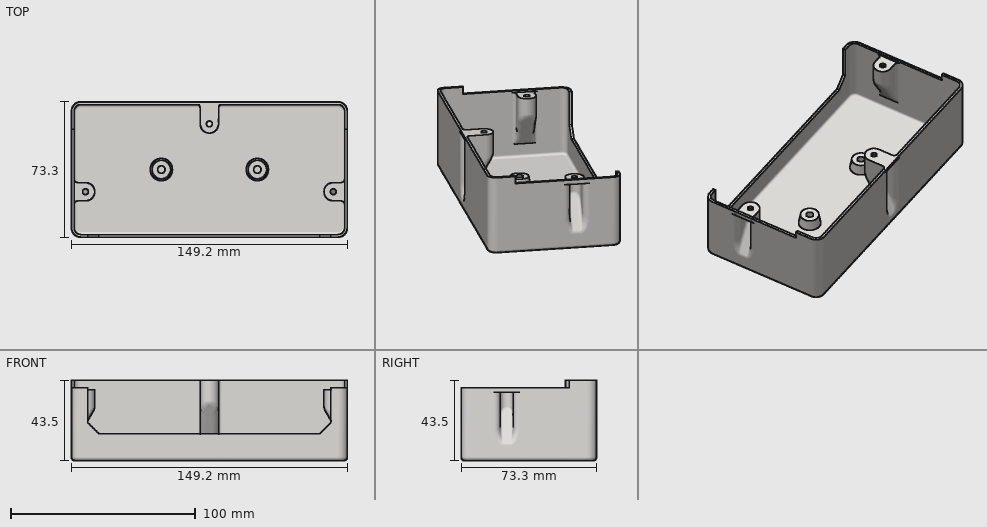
import cadquery as cq
import math

LENGTH = 149.2
WIDTH = 73.3
HEIGHT = 43.5
WALL = 1.5
CORNER_RADIUS = 5.0
OUTER_FLOOR_FILLET = 2.0
INNER_FLOOR_FILLET = 1.5

RIM_STEP = 4.0
REAR_RIM_DEPTH = 14.8

OPENING_HALF_WIDTH = 65.6
OPENING_SILL = 14.6
OPENING_CHAMFER = 6.0

POST_OFFSET = 26.0
POST_HEIGHT = 6.0
POST_TOP_DIAMETER = 10.0
POST_BASE_DIAMETER = 12.1
POST_HOLE_DIAMETER = 4.0

BOSS_DIAMETER = 10.0
BOSS_RADIUS = BOSS_DIAMETER / 2
BOSS_EDGE_FILLET = 3.3
BOSS_WALL_BLEND = 1.8
BOSS_HOLE_DIAMETER = 3.1
BOSS_SLOPE = math.radians(60)
SIDE_BOSS_SETBACK = 24.6
SIDE_BOSS_Y = -WIDTH / 2 + SIDE_BOSS_SETBACK
SIDE_BOSS_REACH = 7.6
SIDE_BOSS_DROP = 5.0
SIDE_BOSS_TOP = HEIGHT - SIDE_BOSS_DROP
SIDE_BOSS_NOSE = 10.3
REAR_BOSS_REACH = 12.0
REAR_BOSS_TOP = HEIGHT
REAR_BOSS_NOSE = 12.2

HOLLOW_RADIUS = BOSS_RADIUS - WALL
HOLLOW_NOSE_RISE = WALL * (1 - math.sin(BOSS_SLOPE)) / math.cos(BOSS_SLOPE)
HOLLOW_EDGE_FILLET = 1.6
HOLLOW_WALL_BLEND = BOSS_WALL_BLEND + WALL


def rounded_block(length, width, bottom, corner_radius, floor_fillet):
    """Block from a bottom level up to the rim, rounded at its corners and lower edges."""
    block = cq.Workplane("XY", origin=(0, 0, bottom)).rect(length, width).extrude(HEIGHT - bottom)
    return block.edges("|Z").fillet(corner_radius).faces("<Z").edges().fillet(floor_fillet)


def slope_level(x, tip, nose_base):
    """Height of the sloping underside at x, given its height nose_base at the tip."""
    return nose_base - (tip - x) * math.tan(BOSS_SLOPE)


def cut_to_slope(column, back, tip, nose_base, edge_fillet):
    """Cut a column along the slope that meets its tip at nose_base and round the new edges.

    The column points along +X from x = back to x = tip; its back edge stays sharp.
    """
    back_level = slope_level(back, tip, nose_base)
    below_slope = (
        cq.Workplane("XZ")
        .polyline([(back, back_level), (tip, nose_base), (tip, back_level)])
        .close()
        .extrude(2 * BOSS_DIAMETER, both=True)
    )
    downward = cq.Vector(math.sin(BOSS_SLOPE), 0, -math.cos(BOSS_SLOPE))
    underside = column.cut(below_slope).faces(cq.DirectionMinMaxSelector(downward))
    return underside.edges("not <X").fillet(edge_fillet)


def make_boss(reach, top, nose_base):
    """Solid boss on the inner wall face, for an outer wall face at x = 0."""
    tip = reach + BOSS_RADIUS
    blend_end = WALL + BOSS_WALL_BLEND
    foot = BOSS_RADIUS + BOSS_WALL_BLEND
    bottom = slope_level(WALL, tip, nose_base)
    column = (
        cq.Workplane("XY", origin=(0, 0, bottom))
        .moveTo(WALL, -foot)
        .radiusArc((blend_end, -BOSS_RADIUS), BOSS_WALL_BLEND)
        .lineTo(reach, -BOSS_RADIUS)
        .threePointArc((tip, 0), (reach, BOSS_RADIUS))
        .lineTo(blend_end, BOSS_RADIUS)
        .radiusArc((WALL, foot), BOSS_WALL_BLEND)
        .close()
        .extrude(top - bottom)
    )
    return cut_to_slope(column, WALL, tip, nose_base, BOSS_EDGE_FILLET)


def make_hollow(reach, top, nose_base):
    """Space inside a boss, flaring out all round to the outer wall face at x = 0."""
    tip = reach + HOLLOW_RADIUS
    back = -2 * HOLLOW_WALL_BLEND
    bottom = slope_level(back, tip, nose_base)
    column = (
        cq.Workplane("XY", origin=(0, 0, bottom))
        .moveTo(back, -HOLLOW_RADIUS)
        .lineTo(reach, -HOLLOW_RADIUS)
        .threePointArc((tip, 0), (reach, HOLLOW_RADIUS))
        .lineTo(back, HOLLOW_RADIUS)
        .close()
        .extrude(top - bottom)
    )
    column = cut_to_slope(column, back, tip, nose_base, HOLLOW_EDGE_FILLET)

    slab_half_width = HOLLOW_RADIUS + 2 * HOLLOW_WALL_BLEND
    slab = (
        cq.Workplane("XZ", origin=(0, slab_half_width, 0))
        .moveTo(back, bottom)
        .lineTo(0, bottom)
        .lineTo(0, top)
        .lineTo(back, top)
        .close()
        .extrude(2 * slab_half_width)
    )
    margin = WALL / 10
    junction = cq.selectors.BoxSelector(
        (-margin, -HOLLOW_RADIUS - margin, bottom + margin),
        (margin, HOLLOW_RADIUS + margin, top - margin),
    )
    return slab.union(column).edges(junction).fillet(HOLLOW_WALL_BLEND)


def boss_and_hollow(reach, top, nose_height):
    """Boss solid, and the hollow with its screw hole, for an outer wall face at x = 0."""
    nose_base = top - nose_height
    boss = make_boss(reach, top, nose_base)
    hollow = make_hollow(reach, top - WALL, nose_base + HOLLOW_NOSE_RISE)
    hole = (
        cq.Workplane("XY", origin=(reach, 0, nose_base))
        .circle(BOSS_HOLE_DIAMETER / 2)
        .extrude(nose_height)
    )
    return boss, hollow.union(hole)


def place(body, angle, x, y):
    """Turn a boss body about Z and move its wall face to (x, y)."""
    return body.rotate((0, 0, 0), (0, 0, 1), angle).translate((x, y, 0))


box = rounded_block(LENGTH, WIDTH, 0, CORNER_RADIUS, OUTER_FLOOR_FILLET)
cavity = rounded_block(
    LENGTH - 2 * WALL, WIDTH - 2 * WALL, WALL, CORNER_RADIUS - WALL, INNER_FLOOR_FILLET
)
box = box.cut(cavity)

lowered_depth = WIDTH - REAR_RIM_DEPTH
rim_cut = cq.Workplane("XY").box(LENGTH, lowered_depth, RIM_STEP, centered=(True, False, False))
box = box.cut(rim_cut.translate((0, -WIDTH / 2, HEIGHT - RIM_STEP)))

opening = (
    cq.Workplane("XZ", origin=(0, -WIDTH / 2 + CORNER_RADIUS, 0))
    .moveTo(-OPENING_HALF_WIDTH, HEIGHT)
    .lineTo(-OPENING_HALF_WIDTH, OPENING_SILL + OPENING_CHAMFER)
    .lineTo(-OPENING_HALF_WIDTH + OPENING_CHAMFER, OPENING_SILL)
    .lineTo(OPENING_HALF_WIDTH - OPENING_CHAMFER, OPENING_SILL)
    .lineTo(OPENING_HALF_WIDTH, OPENING_SILL + OPENING_CHAMFER)
    .lineTo(OPENING_HALF_WIDTH, HEIGHT)
    .close()
    .extrude(CORNER_RADIUS)
)
box = box.cut(opening)

for post_x in (-POST_OFFSET, POST_OFFSET):
    post = (
        cq.Workplane("XY", origin=(post_x, 0, WALL))
        .circle(POST_BASE_DIAMETER / 2)
        .workplane(offset=POST_HEIGHT)
        .circle(POST_TOP_DIAMETER / 2)
        .loft()
        .faces(">Z")
        .workplane()
        .hole(POST_HOLE_DIAMETER, POST_HEIGHT)
    )
    box = box.union(post)

side_boss = boss_and_hollow(SIDE_BOSS_REACH, SIDE_BOSS_TOP, SIDE_BOSS_NOSE)
rear_boss = boss_and_hollow(REAR_BOSS_REACH, REAR_BOSS_TOP, REAR_BOSS_NOSE)
for (boss, hollow), angle, x, y in (
    (side_boss, 0, -LENGTH / 2, SIDE_BOSS_Y),
    (side_boss, 180, LENGTH / 2, SIDE_BOSS_Y),
    (rear_boss, -90, 0, WIDTH / 2),
):
    box = box.union(place(boss, angle, x, y)).cut(place(hollow, angle, x, y))

result = box